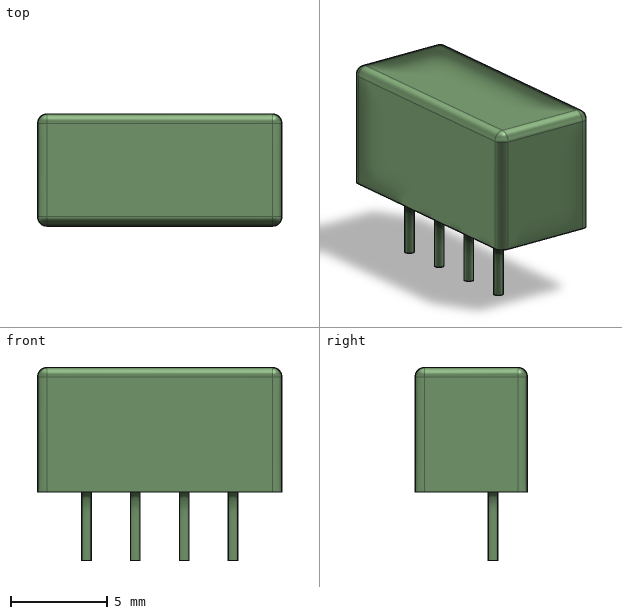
import cadquery as cq

case_length = 12.7
case_width = 5.84
total_height = 10.05
pin_length = 3.57
case_height = total_height - pin_length
edge_radius = 0.5

pin_count = 4
pin_pitch = 2.54
pin_diameter = 0.51
pin_row_y = 1.13


def make_case():
    """Block with its upright and top edges rounded and its bottom edges sharp."""
    block = cq.Workplane("XY").box(case_length, case_width, case_height, centered=(True, True, False))
    return block.edges("|Z or >Z").fillet(edge_radius)


def make_pins():
    """Evenly spaced row of pins hanging below the case."""
    return (
        cq.Workplane("XY")
        .center(0, pin_row_y)
        .rarray(pin_pitch, pin_pitch, pin_count, 1)
        .circle(pin_diameter / 2)
        .extrude(-pin_length)
    )


result = make_case().union(make_pins())